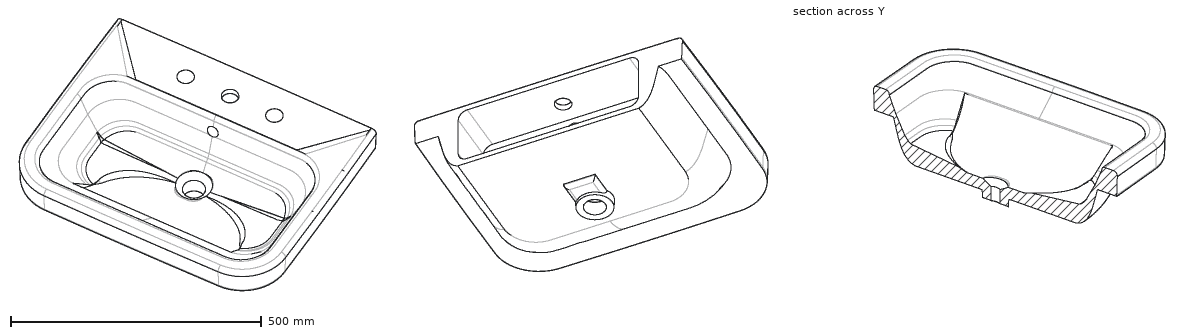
import cadquery as cq
import math


WIDTH = 599.41
DEPTH = 469.56
HEIGHT = 172.09

SIDE_BULGE = 2.2
FRONT_BULGE = 2.5
CORNER_RADIUS = 100.0
TOP_ROUND = 10.0
RIM_HEIGHT = 58.0
RIM_DRAFT = 2.0
FOOT_HEIGHT = 4.0
FOOT_DRAFT = 12.0
CORNER_STEPS = 2
OVERLAP = 1.0
BACK_OVERHANG = 60.0

CROWN = 1.5
DECK_HALF = 286.0
BEVEL_HEIGHT = 0.2
BEVEL_SIDE_Y = -20.0
BEVEL_FRONT_HALF = 205.0
DECK_GAP = 0.5
CREST_SIDE_Y = -6.0
CREST_FRONT_HALF = 185.0
DECK_THICKNESS = 12.0
TAP_DIAMETER = 35.0
TAP_PITCH = 102.0
TAP_Y = -68.0
TAP_MARK_DEPTH = 0.5

LIP_RADIUS = 10.0
LIP_ROUND = 9.0
MOUTH = (-LIP_RADIUS, 260.0, 133.0, 430.5, 66.0)
WALL_SECTIONS = [
    (-48.0, 244.0, 140.0, 385.0, 70.0),
    (-90.0, 222.0, 153.0, 345.0, 64.0),
    (-99.0, 215.0, 158.0, 337.0, 62.0),
    (-105.0, 208.0, 164.0, 329.0, 60.0),
]

UNDERSIDE_SECTIONS = [
    (-RIM_HEIGHT + OVERLAP, 251.0, -BACK_OVERHANG, 394.0, 95.0),
    (-95.0, 241.0, -BACK_OVERHANG, 372.0, 90.0),
    (-138.0, 222.0, -BACK_OVERHANG, 327.0, 80.0),
    (-153.0, 201.0, -BACK_OVERHANG, 283.0, 70.0),
]
UNDERSIDE_Z = UNDERSIDE_SECTIONS[-1][0]

DRAIN_Y = -214.0
DRAIN_DIAMETER = 46.0
SEAT_DIAMETER = 74.0
SEAT_Z = -125.0
SEAT_DEPTH = 12.0
SEAT_CLEARANCE = 10.0
FLOOR_END_RADIUS = 32.0
BOSS_TOP_DIAMETER = 79.0
BOSS_BOTTOM_DIAMETER = 76.0
BOSS_BOTTOM = CROWN - HEIGHT

FAN_HALF_WIDTH = 165.0
FAN_FLARE = 182.0
FAN_BACK = -205.0
FAN_MIDDLE = -310.0
FAN_FRONT = -385.0
FAN_TOP_Z = -45.0
FAN_PROFILE = [(FAN_FRONT, FAN_TOP_Z), (-351.0, -92.0), (-293.0, -118.0), (-214.0, -125.0)]
FAN_BAND = 20.0
FAN_BAND_TOP = -108.0
FAN_BAND_BOTTOM = -126.0

OVERFLOW_DIAMETER = 25.0
OVERFLOW_Z = -37.0
OVERFLOW_START_Y = -110.0
OVERFLOW_LENGTH = 45.0
DUCT_BACK = 142.0
DUCT_FRONT = 200.0
DUCT_WIDTH = 70.0
DUCT_BOTTOM = -164.0
DUCT_ROUND = 9.0

HOLLOW_WIDTH = 400.0
HOLLOW_DEPTH = 116.0
HOLLOW_BOTTOM = -141.0
HOLLOW_ROUND = 20.0


def soft_quarter(z, half_width, end_y, radius, side):
    """Smooth quarter outline from the side, level with the drain, round a corner to the centre line."""
    along = math.copysign(1, end_y - DRAIN_Y)
    corner_x = half_width - radius
    corner_y = end_y - along * radius
    points = [cq.Vector(side * half_width, DRAIN_Y, z)]
    tangents = [cq.Vector(0, along, 0)]
    for step in range(CORNER_STEPS + 1):
        angle = step / CORNER_STEPS * math.pi / 2
        x = corner_x + radius * math.cos(angle)
        y = corner_y + along * radius * math.sin(angle)
        points.append(cq.Vector(side * x, y, z))
        tangents.append(cq.Vector(-side * math.sin(angle), along * math.cos(angle), 0))
    points.append(cq.Vector(0, end_y, z))
    tangents.append(cq.Vector(-side, 0, 0))
    return cq.Edge.makeSpline(points, tangents=tangents)


def soft_rectangle(z, half_width, back, front, radius):
    """Closed outline of four smooth quarters: a rectangle with round corners."""
    quarters = [(-back, 1), (-back, -1), (-front, -1), (-front, 1)]
    return cq.Wire.assembleEdges([soft_quarter(z, half_width, y, radius, side) for y, side in quarters])


def loft_sections(sections, ruled=False):
    """Solid through a stack of sections, smooth or in straight bands."""
    return cq.Workplane(cq.Solid.makeLoft([soft_rectangle(*s) for s in sections], ruled))


def rim_outline():
    """Plan outline with slightly bowed sides and front and round front corners."""
    half = WIDTH / 2
    corner_x = half - SIDE_BULGE
    corner_y = -DEPTH + FRONT_BULGE
    outline = (
        cq.Workplane("XY")
        .moveTo(corner_x, BACK_OVERHANG)
        .lineTo(corner_x, 0)
        .threePointArc((half, corner_y / 2), (corner_x, corner_y))
        .threePointArc((0, -DEPTH), (-corner_x, corner_y))
        .threePointArc((-half, corner_y / 2), (-corner_x, 0))
        .lineTo(-corner_x, BACK_OVERHANG)
        .close()
        .val()
    )
    front_corners = cq.Workplane(outline).vertices("<Y").vals()
    return outline.fillet2D(CORNER_RADIUS, front_corners)


def drafted(outline, depth, draft):
    """Extrude an outline downwards, drawing it in by the draft angle."""
    return cq.Workplane(cq.Solid.extrudeLinear(outline, [], cq.Vector(0, 0, -depth), draft))


def make_rim():
    """Slab with a rounded top edge, a drafted band and a more steeply drafted foot."""
    outline = rim_outline()
    edge = drafted(outline, TOP_ROUND + OVERLAP, 0)
    edge = edge.faces(">Z").edges().fillet(TOP_ROUND)
    band = drafted(outline.moved(cq.Location(cq.Vector(0, 0, -TOP_ROUND))),
                   RIM_HEIGHT - FOOT_HEIGHT - TOP_ROUND, RIM_DRAFT)
    foot_wire = band.faces("<Z").wires().val()
    foot = drafted(foot_wire, FOOT_HEIGHT, FOOT_DRAFT)
    return edge.union(band).union(foot)


def deck_outline(z, side_y, front_half):
    """Panel between the mitre lines that run from the wall corners to the bowl."""
    front_y = LIP_ROUND - MOUTH[2] + DECK_GAP
    right = [(DECK_HALF, 0), (DECK_HALF, side_y), (front_half, front_y)]
    left = [(-x, y) for x, y in reversed(right)]
    return cq.Workplane("XY", origin=(0, 0, z)).polyline(right + left).close().val()


def make_deck():
    """Crowned panel, bevelled down to the rim along the mitre lines."""
    crest = deck_outline(BEVEL_HEIGHT, CREST_SIDE_Y, CREST_FRONT_HALF)
    bevel = cq.Workplane(cq.Solid.makeLoft([deck_outline(0, BEVEL_SIDE_Y, BEVEL_FRONT_HALF), crest], True))
    crown = (
        cq.Workplane("XZ")
        .moveTo(-DECK_HALF, BEVEL_HEIGHT)
        .threePointArc((0, CROWN), (DECK_HALF, BEVEL_HEIGHT))
        .close()
        .extrude(MOUTH[2])
    )
    panel = cq.Workplane(cq.Solid.extrudeLinear(crest, [], cq.Vector(0, 0, CROWN)))
    return bevel.union(panel.intersect(crown))


def make_underside():
    """Rounded belly of the basin, below the rim."""
    return loft_sections(UNDERSIDE_SECTIONS)


def make_boss():
    """Tapered outlet spigot under the drain."""
    return (
        cq.Workplane("XY", origin=(0, DRAIN_Y, BOSS_BOTTOM))
        .circle(BOSS_BOTTOM_DIAMETER / 2)
        .workplane(offset=UNDERSIDE_Z + OVERLAP - BOSS_BOTTOM)
        .circle(BOSS_TOP_DIAMETER / 2)
        .loft()
    )


def make_duct():
    """Overflow duct fairing that meets the outlet spigot."""
    length = DUCT_FRONT - DUCT_BACK
    top = UNDERSIDE_Z + DUCT_ROUND
    return (
        cq.Workplane("XY")
        .box(DUCT_WIDTH, length, top - DUCT_BOTTOM, centered=(True, False, False))
        .translate((0, -DUCT_FRONT, DUCT_BOTTOM))
        .faces("<Z")
        .edges()
        .fillet(DUCT_ROUND)
    )


def make_bowl():
    """Space inside the bowl, banded from the mouth down the wall to the drain seat."""
    seat_half = SEAT_DIAMETER / 2
    seat = (SEAT_Z, seat_half, -DRAIN_Y - seat_half, -DRAIN_Y + seat_half, FLOOR_END_RADIUS)
    rim_level = (0, *MOUTH[1:])
    return loft_sections([rim_level, MOUTH, *WALL_SECTIONS, seat], ruled=True)


def fan_outline(z, inset):
    """Fan plan: a half ellipse around the drain end, flaring towards the front wall."""
    half_width = FAN_HALF_WIDTH - inset
    flare = FAN_FLARE - inset
    return (
        cq.Workplane("XY", origin=(0, 0, z))
        .moveTo(-flare, FAN_FRONT)
        .lineTo(-half_width, FAN_MIDDLE)
        .ellipseArc(half_width, FAN_BACK - inset - FAN_MIDDLE, 0, 180, sense=-1, startAtCurrent=True)
        .lineTo(flare, FAN_FRONT)
        .close()
        .val()
    )


def make_fan():
    """Valley cutter: steep sides above, a sloping band below, and a curved ramp as its bottom."""
    band_outline = fan_outline(FAN_BAND_TOP, 0)
    band = cq.Workplane(cq.Solid.makeLoft([band_outline, fan_outline(FAN_BAND_BOTTOM, FAN_BAND)], True))
    sides = cq.Workplane(cq.Solid.extrudeLinear(band_outline, [], cq.Vector(0, 0, FAN_TOP_Z - FAN_BAND_TOP)))
    ramp = (
        cq.Workplane("YZ", origin=(-FAN_FLARE, 0, 0))
        .moveTo(*FAN_PROFILE[0])
        .spline(FAN_PROFILE[1:], includeCurrent=True)
        .lineTo(FAN_PROFILE[-1][0], FAN_TOP_Z)
        .close()
        .extrude(2 * FAN_FLARE)
    )
    return sides.union(band).intersect(ramp)


def make_drain():
    """Outlet bore with a conical seat at the bowl floor."""
    bore = (
        cq.Workplane("XY", origin=(0, DRAIN_Y, BOSS_BOTTOM))
        .circle(DRAIN_DIAMETER / 2)
        .extrude(SEAT_Z - BOSS_BOTTOM)
    )
    seat = (
        cq.Workplane("XY", origin=(0, DRAIN_Y, SEAT_Z - SEAT_DEPTH))
        .circle(DRAIN_DIAMETER / 2)
        .workplane(offset=SEAT_DEPTH)
        .circle(SEAT_DIAMETER / 2)
        .workplane(offset=SEAT_CLEARANCE)
        .circle(SEAT_DIAMETER / 2)
        .loft(ruled=True)
    )
    return bore.union(seat)


def make_overflow():
    """Round hole from the bowl's back wall into the hollow."""
    return (
        cq.Workplane("XZ", origin=(0, OVERFLOW_START_Y, OVERFLOW_Z))
        .circle(OVERFLOW_DIAMETER / 2)
        .extrude(OVERFLOW_LENGTH)
    )


def make_hollow():
    """Cavity behind the bowl, open at the wall face."""
    height = -DECK_THICKNESS - HOLLOW_BOTTOM
    return (
        cq.Workplane("XY")
        .box(HOLLOW_WIDTH, HOLLOW_DEPTH, height, centered=(True, False, False))
        .translate((0, -HOLLOW_DEPTH, HOLLOW_BOTTOM))
        .edges("|Y")
        .fillet(HOLLOW_ROUND)
    )


def disc(x, bottom, top):
    """Upright plug of the tap hole diameter."""
    return cq.Workplane("XY", origin=(x, TAP_Y, bottom)).circle(TAP_DIAMETER / 2).extrude(top - bottom)


def make_tap_holes():
    """Open centre tap hole and two shallow knock-out marks beside it."""
    holes = disc(0, -DECK_THICKNESS - TAP_DIAMETER, CROWN)
    for x in (-TAP_PITCH, TAP_PITCH):
        crown_there = BEVEL_HEIGHT + (CROWN - BEVEL_HEIGHT) * (1 - (x / DECK_HALF) ** 2)
        holes = holes.union(disc(x, crown_there - TAP_MARK_DEPTH, CROWN))
    return holes


def trim_to_wall(body):
    """Cut away everything behind the wall face."""
    stock = cq.Workplane("XY").box(2 * WIDTH, 2 * BACK_OVERHANG, 2 * HEIGHT).translate((0, BACK_OVERHANG, 0))
    return body.cut(stock)


def make_basin():
    """Join the rim and belly, hollow them out, then add the deck and the openings."""
    rim = trim_to_wall(make_rim())
    belly = trim_to_wall(make_underside().union(make_boss()).union(make_duct()))
    body = rim.union(belly).cut(make_hollow()).cut(make_bowl())
    mouth_edges = body.faces(">Z").val().innerWires()[0].Edges()
    body = body.newObject(mouth_edges).fillet(LIP_ROUND).union(make_deck())
    for cutter in (make_tap_holes(), make_overflow(), make_fan(), make_drain()):
        body = body.cut(cutter)
    return body


result = make_basin()